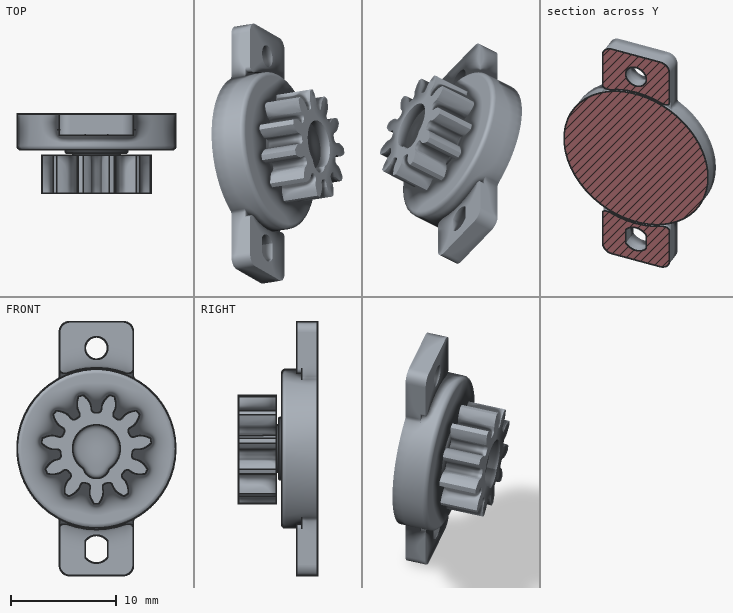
import math

import cadquery as cq

body_radius = 7.5
body_back = 0.0
body_front = -3.4
body_edge_radius = 0.4

overall_height = 24.0
tab_width = 7.0
tab_thickness = 2.0
tab_corner_radius = 1.0
tab_base_thickness = 1.5
relief_radius = 7.65
relief_height = 7.13
relief_corner_radius = 0.4
tab_root_radius = 0.3

hole_height = 9.5
hole_diameter = 2.1
slot_end_radius = 1.3

collar_radius = 2.95
collar_height = 0.3
collar_edge_radius = 0.2
shaft_radius = 2.25

gear_module = 0.8
tooth_count = 11
pressure_angle = math.radians(20)
gear_back = -3.9
gear_front = -7.5
root_clearance = 0.25
root_fillet = 0.35
flank_point_count = 8

recess_depth = 1.0
key_radius = 1.27
key_offset = 1.55

pitch_radius = gear_module * tooth_count / 2
base_radius = pitch_radius * math.cos(pressure_angle)
tip_radius = pitch_radius + gear_module
root_radius = pitch_radius - (1 + root_clearance) * gear_module


def plane_at(y):
    """Sketch plane with X right and Z up; positive extrusion runs toward -Y."""
    return cq.Workplane("XZ", origin=(0, y, 0))


def make_body():
    body = plane_at(body_back).circle(body_radius).extrude(body_back - body_front)
    return body.faces("<Y").edges().fillet(body_edge_radius)


def make_tab_base():
    """Full-height plate that carries both tabs, blended into the body at its sides."""
    plate = plane_at(body_back).rect(tab_width, overall_height).extrude(tab_base_thickness)
    plate = plate.edges("|Y").fillet(tab_corner_radius)
    disc = plane_at(body_back).circle(body_radius).extrude(tab_base_thickness)
    return plate.union(disc).edges(root_edge_selector()).fillet(tab_root_radius)


def root_edge_selector():
    """Edges where the tab sides meet the round body."""
    half_width = tab_width / 2
    margin = 0.1
    root_height = math.sqrt(body_radius**2 - half_width**2)
    selector = None
    for x in (-half_width, half_width):
        for z in (-root_height, root_height):
            box = cq.selectors.BoxSelector(
                (x - margin, body_back - tab_base_thickness, z - margin),
                (x + margin, body_back, z + margin),
            )
            selector = box if selector is None else selector + box
    return selector


def make_tab_face(side):
    """Outer layer of one tab (side = 1 above, -1 below), relieved around the body."""
    height = overall_height / 2 - relief_height
    layer_thickness = tab_thickness - tab_base_thickness
    middle = side * (relief_height + height / 2)
    layer = (
        plane_at(body_back - tab_base_thickness)
        .center(0, middle)
        .rect(tab_width, height)
        .extrude(layer_thickness)
    )
    outer, inner = (">Z", "<Z") if side > 0 else ("<Z", ">Z")
    layer = layer.faces(outer).edges("|Y").fillet(tab_corner_radius)
    layer = layer.faces(inner).edges("|Y").fillet(relief_corner_radius)
    relief = plane_at(body_back - tab_base_thickness).circle(relief_radius).extrude(layer_thickness)
    return layer.cut(relief)


def make_round_hole():
    return plane_at(body_back).center(0, hole_height).circle(hole_diameter / 2).extrude(tab_thickness)


def make_flattened_hole():
    sketch = plane_at(body_back).center(0, -hole_height)
    cylinder = sketch.circle(slot_end_radius).extrude(tab_thickness)
    flats = sketch.rect(hole_diameter, 2 * slot_end_radius).extrude(tab_thickness)
    return cylinder.intersect(flats)


def make_shaft():
    collar = plane_at(body_front).circle(collar_radius).extrude(collar_height)
    collar = collar.faces("<Y").edges().fillet(collar_edge_radius)
    shaft = plane_at(body_front).circle(shaft_radius).extrude(body_front - gear_back)
    return collar.union(shaft)


def involute(angle):
    return math.tan(angle) - angle


def polar(radius, angle):
    return (radius * math.cos(angle), radius * math.sin(angle))


def flank_points(direction, side):
    """Involute flank from base circle to tip; side is -1 or 1 about the tooth centre line."""
    points = []
    for i in range(flank_point_count):
        radius = base_radius + (tip_radius - base_radius) * i / (flank_point_count - 1)
        roll = math.acos(min(1.0, base_radius / radius))
        half_angle = math.pi / (2 * tooth_count) + involute(pressure_angle) - involute(roll)
        points.append(polar(radius, direction + side * half_angle))
    return points


def make_tooth(direction):
    """One tooth with involute flanks above the base circle and radial flanks below it."""
    rising = flank_points(direction, -1)
    falling = flank_points(direction, 1)[::-1]
    return (
        plane_at(gear_back)
        .moveTo(0, 0)
        .lineTo(*rising[0])
        .spline(rising[1:], includeCurrent=True)
        .threePointArc(polar(tip_radius, direction), falling[0])
        .spline(falling[1:], includeCurrent=True)
        .close()
        .extrude(gear_back - gear_front)
    )


def make_gear():
    gear = plane_at(gear_back).circle(root_radius).extrude(gear_back - gear_front)
    for i in range(tooth_count):
        gear = gear.union(make_tooth(-math.pi / 2 + i * 2 * math.pi / tooth_count))
    root_edges = [
        edge
        for edge in gear.edges("|Y").vals()
        if abs(math.hypot(edge.Center().x, edge.Center().z) - root_radius) < root_fillet / 2
    ]
    return gear.newObject(root_edges).fillet(root_fillet)


def make_recess():
    """Round recess with a smaller round key lobe on its lower side."""
    sketch = plane_at(gear_front + recess_depth)
    bore = sketch.circle(shaft_radius).extrude(recess_depth)
    lobe = sketch.center(0, -key_offset).circle(key_radius).extrude(recess_depth)
    return bore.union(lobe)


housing = make_body().union(make_tab_base())
for side in (1, -1):
    housing = housing.union(make_tab_face(side))
housing = housing.cut(make_round_hole()).cut(make_flattened_hole())

result = housing.union(make_shaft()).union(make_gear()).cut(make_recess())